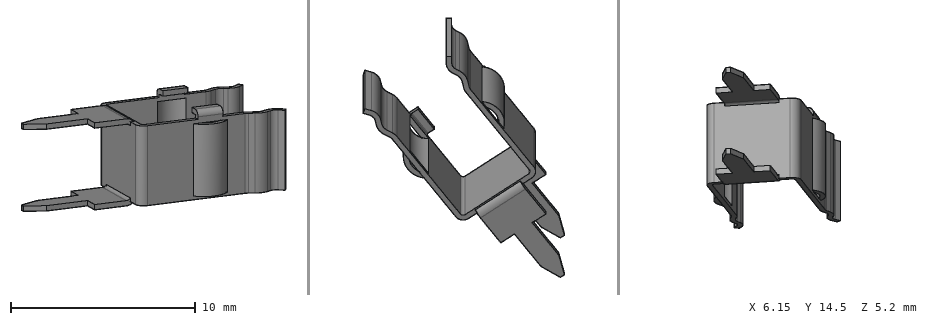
import cadquery as cq
import math

sheet = 0.3
clip_width = 5.23
clip_height = 4.5
corner_radius = 0.5
arm_straight = 5.85

wave_angle = 24.0
tip_angle = 36.0
flare_radius = 0.51
swell_radius = 0.61
pinch_radius = 0.44
flare_flat = 0.35
swell_flat = 0.25
tip_flat = 0.38

bow_y = 4.28
bow_radius = 1.34
bow_rise = 0.46
bow_margin = 0.22

hook_length = 1.51
hook_rise = 0.5
hook_reach = 0.75
hook_inner_radius = 0.05

terminal_offset = 0.2
terminal_bend_radius = 0.67
terminal_bend_y = -0.26
terminal_end_y = -5.76
terminal_width = 3.02
shoulder_y = -2.15
pin_width = 1.19
taper_y = -4.6
pin_tip_width = 0.26

arm_outer_x = clip_width / 2
arm_inner_x = arm_outer_x - sheet


def bent_half():
    """One arm and half of the back wall, a strip swept along the middle of the bent sheet."""
    steps = [
        (clip_width / 2 - corner_radius, 90, corner_radius - sheet),
        (arm_straight, -wave_angle, flare_radius),
        (flare_flat, 2 * wave_angle, swell_radius),
        (swell_flat, -wave_angle - tip_angle, pinch_radius),
    ]
    path = cq.Workplane("XY").moveTo(0, sheet / 2)
    heading = 0
    for flat, turn, inside_radius in steps:
        path = path.polarLine(flat, heading)
        chord = 2 * (inside_radius + sheet / 2) * math.sin(math.radians(abs(turn) / 2))
        chord_heading = math.radians(heading + turn / 2)
        path = path.tangentArcPoint(
            (chord * math.cos(chord_heading), chord * math.sin(chord_heading)), relative=True
        )
        heading += turn
    path = path.polarLine(tip_flat, heading)
    section = cq.Workplane("YZ").center(sheet / 2, clip_height / 2).rect(sheet, clip_height)
    return section.sweep(path)


def bow_segment(radius, flat_x):
    """Part of a round bar around the bow's axis that lies outside the plane x = flat_x."""
    height = clip_height - 2 * bow_margin
    centre_x = arm_outer_x + bow_rise - bow_radius
    bar = (
        cq.Workplane("XY", origin=(centre_x, bow_y, bow_margin))
        .circle(radius)
        .extrude(height)
    )
    beyond = (
        cq.Workplane("XY", origin=(flat_x, bow_y, bow_margin))
        .rect(2 * bow_radius, 2 * bow_radius)
        .extrude(height)
        .translate((bow_radius, 0, 0))
    )
    return bar.intersect(beyond)


def hook():
    """Tab rising from an arm's top edge and folded inward."""
    profile = (
        cq.Workplane("XZ", origin=(0, bow_y + hook_length / 2, clip_height))
        .moveTo(arm_outer_x, 0)
        .vLine(hook_rise)
        .hLine(-hook_reach)
        .vLine(-sheet)
        .hLineTo(arm_inner_x)
        .vLineTo(0)
        .close()
        .extrude(hook_length)
    )
    hook_top = clip_height + hook_rise
    outer_corner = cq.selectors.NearestToPointSelector((arm_outer_x, bow_y, hook_top))
    inner_corner = cq.selectors.NearestToPointSelector((arm_inner_x, bow_y, hook_top - sheet))
    folded = profile.edges(outer_corner).fillet(hook_inner_radius + sheet)
    return folded.edges(inner_corner).fillet(hook_inner_radius)


def make_clip():
    """U-shaped clip, the two halves mirrored about x = 0."""
    half = (
        bent_half()
        .union(bow_segment(bow_radius, arm_outer_x))
        .cut(bow_segment(bow_radius - sheet, arm_inner_x))
        .union(hook())
    )
    return half.union(half.mirror("YZ"))


def blade_blank():
    """Tall block with a terminal's plan: broad shoulder, narrow pin and tapered tip."""
    right_side = [
        (terminal_width / 2, sheet),
        (terminal_width / 2, shoulder_y),
        (pin_width / 2, shoulder_y),
        (pin_width / 2, taper_y),
        (pin_tip_width / 2, terminal_end_y),
    ]
    left_side = [(-x, y) for x, y in reversed(right_side)]
    return cq.Workplane("XY").polyline(right_side + left_side).close().extrude(clip_height, both=True)


def bend_point(radius, y):
    """Point (y, z) at a given y on a terminal bend's arc of the given radius."""
    centre_z = terminal_offset - terminal_bend_radius
    return y, centre_z + math.sqrt(radius**2 - (y - terminal_bend_y) ** 2)


def make_upper_terminal():
    """Terminal whose bend seats over the wall's outside top edge."""
    inside_radius = terminal_bend_radius - sheet
    edge_drop = terminal_bend_radius - terminal_offset
    seat_y = terminal_bend_y + math.sqrt(terminal_bend_radius**2 - edge_drop**2)
    profile = (
        cq.Workplane("YZ", origin=(-terminal_width / 2, 0, 0))
        .moveTo(seat_y, 0)
        .threePointArc(
            bend_point(terminal_bend_radius, (seat_y + terminal_bend_y) / 2),
            (terminal_bend_y, terminal_offset),
        )
        .hLineTo(terminal_end_y)
        .vLine(-sheet)
        .hLineTo(terminal_bend_y)
        .threePointArc(bend_point(inside_radius, terminal_bend_y / 2), bend_point(inside_radius, 0))
        .vLineTo(0)
        .close()
        .extrude(terminal_width)
    )
    return profile.intersect(blade_blank()).translate((0, 0, clip_height))


clip = make_clip()
upper_terminal = make_upper_terminal()
lower_terminal = upper_terminal.mirror("XY", (0, 0, clip_height / 2))

bodies = [clip, upper_terminal, lower_terminal]
result = cq.Compound.makeCompound([body.solids().val() for body in bodies])